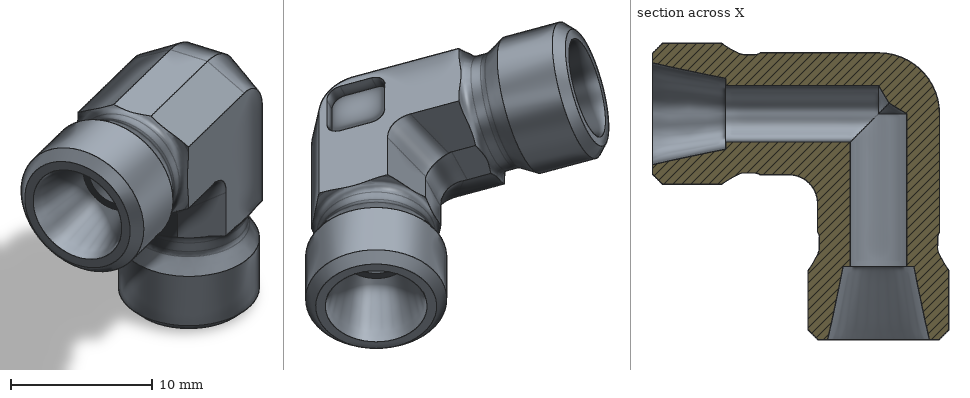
import cadquery as cq
import math

leg_length = 16.0
thread_diameter = 10.0
end_chamfer = 0.71
thread_start = 11.1
neck_diameter = 8.4
shoulder_angle = 30.0
shoulder_fillet = 0.75
hex_length = 8.0
neck_fillet = 0.8
hex_across_flats = 9.0
hex_truncation = 4.33
inner_corner_fillet = 2.0

bore_diameter = 4.0
drill_point_angle = 118.0
seat_mouth_diameter = 7.2
seat_floor_diameter = 5.0
seat_angle = 24.0

pocket_size = 4.39
pocket_corner = 1.0
pocket_depth = 1.0
pocket_offset = 0.19

thread_radius = thread_diameter / 2
neck_radius = neck_diameter / 2
bore_radius = bore_diameter / 2
seat_mouth_radius = seat_mouth_diameter / 2
seat_floor_radius = seat_floor_diameter / 2
neck_start = hex_length + neck_fillet
half_flats = hex_across_flats / 2
hex_corner_radius = half_flats / math.cos(math.radians(30))
side_corner_height = hex_corner_radius / 2
seat_depth = (seat_mouth_radius - seat_floor_radius) / math.tan(math.radians(seat_angle / 2))
drill_tip_height = bore_radius / math.tan(math.radians(drill_point_angle / 2))


def as_y_leg(leg):
    """Rotate a leg feature built along -Z so that it lies along -Y."""
    return leg.rotate((0, 0, 0), (1, 0, 0), -90)


def revolve_about_z(profile):
    """Revolve a closed (radius, Z) profile about the Z axis."""
    return profile.revolve(360, (0, 0, 0), (0, 1, 0))


def plain_elbow(half_section):
    """Elbow of constant section, given the (X, Y) corners of the half section at Y >= 0.

    The outer corner is revolved about the X axis and the inner corner is rounded.
    """
    mirrored = [(x, -y) for x, y in reversed(half_section)]
    arm = cq.Workplane("XY").polyline(half_section + mirrored).close().extrude(-neck_start)
    outline = [(half_section[0][0], 0)] + half_section + [(half_section[-1][0], 0)]
    outer_corner = cq.Workplane("XY").polyline(outline).close().revolve(90, (0, 0, 0), (1, 0, 0))
    elbow = arm.union(as_y_leg(arm)).union(outer_corner)
    clearance = 0.02
    half_width = half_flats + clearance
    reach = hex_corner_radius + clearance
    inner_corner = cq.selectors.BoxSelector(
        (-half_width, -reach, -reach),
        (half_width, -clearance, -clearance),
        boundingbox=True,
    )
    return elbow.edges(inner_corner).fillet(inner_corner_fillet)


def hex_elbow():
    """Hexagonal elbow with flats on +-X and its inner and outer ridges cut flat."""
    hexagon = plain_elbow([
        (half_flats, side_corner_height),
        (0, hex_corner_radius),
        (-half_flats, side_corner_height),
    ])
    ridge_limit = plain_elbow([
        (half_flats, hex_truncation),
        (-half_flats, hex_truncation),
    ])
    return hexagon.intersect(ridge_limit)


def neck_relief():
    """Ring that rounds the end of a hexagonal arm down to the neck."""
    outside = hex_corner_radius + neck_fillet
    arc_centre = (neck_radius + neck_fillet, -neck_start)
    arc_reach = neck_fillet * math.sin(math.radians(45))
    return revolve_about_z(
        cq.Workplane("XZ")
        .moveTo(neck_radius, -neck_start)
        .threePointArc(
            (arc_centre[0] - arc_reach, arc_centre[1] + arc_reach),
            (arc_centre[0], -hex_length),
        )
        .lineTo(outside, -hex_length)
        .lineTo(outside, -neck_start)
        .close()
    )


def threaded_end():
    """Neck, conical shoulder and chamfered thread cylinder of one leg."""
    cone_length = (thread_radius - neck_radius) / math.tan(math.radians(shoulder_angle))
    cone_start = thread_start - cone_length
    end = revolve_about_z(
        cq.Workplane("XZ")
        .moveTo(0, -hex_length)
        .lineTo(neck_radius, -hex_length)
        .lineTo(neck_radius, -cone_start)
        .lineTo(thread_radius, -thread_start)
        .lineTo(thread_radius, -leg_length + end_chamfer)
        .lineTo(thread_radius - end_chamfer, -leg_length)
        .lineTo(0, -leg_length)
        .close()
    )
    cone_edge = cq.selectors.NearestToPointSelector((0, 0, -cone_start))
    return end.edges("%CIRCLE").edges(cone_edge).fillet(shoulder_fillet)


def leg_bore():
    """Conical tube seat with a flat floor, then a drilled bore whose point starts at the origin."""
    seat_floor = -leg_length + seat_depth
    return revolve_about_z(
        cq.Workplane("XZ").polyline([
            (0, -leg_length),
            (seat_mouth_radius, -leg_length),
            (seat_floor_radius, seat_floor),
            (bore_radius, seat_floor),
            (bore_radius, 0),
            (0, drill_tip_height),
        ]).close()
    )


def side_pocket():
    """Rounded square recess in the -X flat."""
    return (
        cq.Workplane("YZ", origin=(-half_flats, -pocket_offset, -pocket_offset))
        .rect(pocket_size, pocket_size)
        .extrude(pocket_depth)
        .edges("|X")
        .fillet(pocket_corner)
    )


result = hex_elbow()
result = result.cut(neck_relief()).cut(as_y_leg(neck_relief()))
result = result.union(threaded_end()).union(as_y_leg(threaded_end()))
result = result.cut(leg_bore()).cut(as_y_leg(leg_bore()))
result = result.cut(side_pocket())